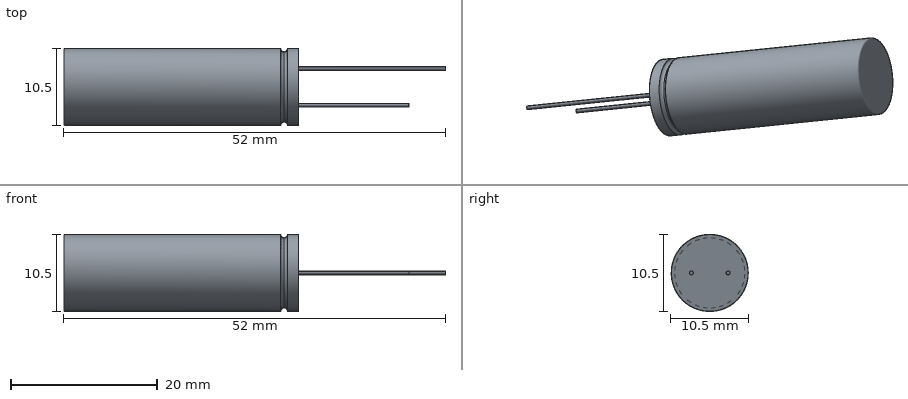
import cadquery as cq

can_radius = 5.25
can_length = 32.0
closed_end_fillet = 0.2

groove_radius = 0.45
groove_x = 30.0

lead_diameter = 0.5
lead_pitch = 5.0
long_lead_end_x = 52.0
short_lead_end_x = 47.0


def make_cylinder(start_x, end_x, radius, y=0):
    """Round bar along X from start_x to end_x, with its axis at the given Y."""
    return (
        cq.Workplane("YZ", origin=(start_x, y, 0))
        .circle(radius)
        .extrude(end_x - start_x)
    )


def make_groove_cutter():
    """Ring of round section, centred on the can's surface, that cuts the crimp groove."""
    center = cq.Vector(groove_x, 0, 0)
    x_axis = cq.Vector(1, 0, 0)
    return cq.Workplane(cq.Solid.makeTorus(can_radius, groove_radius, center, x_axis))


def make_can():
    """Can up to the middle of the groove, with a rounded closed end."""
    blank = make_cylinder(0, groove_x, can_radius)
    rounded = blank.faces("<X").edges().fillet(closed_end_fillet)
    return rounded.cut(make_groove_cutter())


def make_end_cap():
    """End cap from the middle of the groove to the face that the leads leave."""
    return make_cylinder(groove_x, can_length, can_radius).cut(make_groove_cutter())


def make_lead(y, end_x):
    """Lead that starts on the outer face of the end cap."""
    return make_cylinder(can_length, end_x, lead_diameter / 2, y)


can = make_can()
end_cap = make_end_cap()

lead_places = [
    (lead_pitch / 2, long_lead_end_x),
    (-lead_pitch / 2, short_lead_end_x),
]
leads = [make_lead(y, end_x).val() for y, end_x in lead_places]

result = cq.Compound.makeCompound([can.val(), end_cap.val(), *leads])